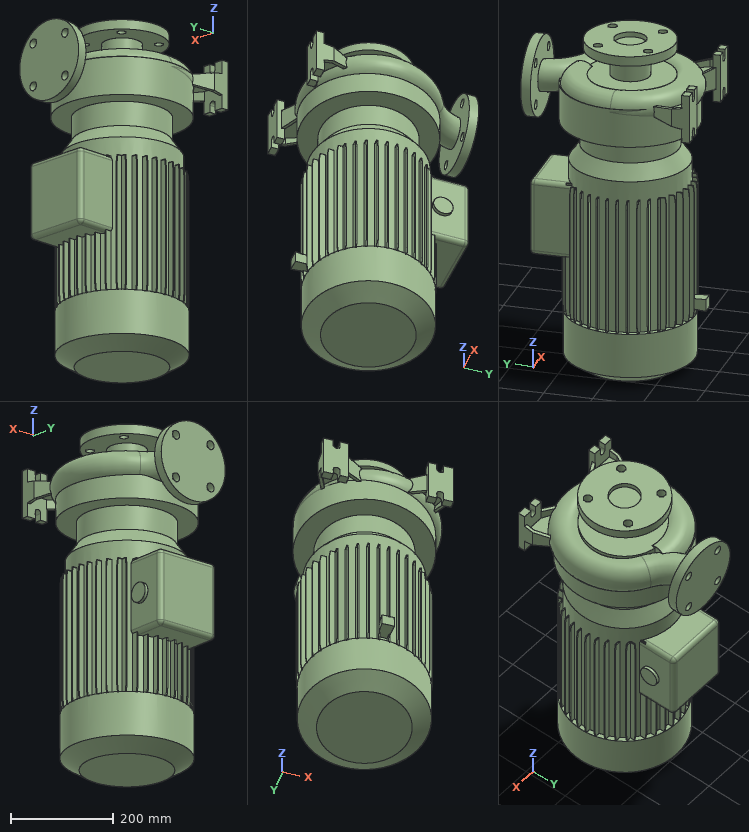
import cadquery as cq
import math

OVERLAP = 7.0

end_cap_radius = 94.0
end_cap_top = 24.0
shroud_radius = 132.0
shroud_top = 116.0
frame_radius = 121.5
frame_top = 436.0
lantern_radius = 99.5
lantern_bottom = 467.0

fin_top = 397.0
fin_height = 12.5
fin_end_step = 2.0
fin_thickness = 3.0
fins_per_side = 10
fin_pitch_angle = 90 / fins_per_side
fin_end_taper = 16.0

casing_radius = 140.0
casing_bottom = 517.5
casing_top = 597.0
hub_radius = 92.0
hub_top = 615.0

tube_axis_z = 590.0
tube_radius = 32.5
scroll_start_reach = casing_radius - tube_radius
scroll_end_reach = 120.0
scroll_radius = (scroll_start_reach + scroll_end_reach) / 2
scroll_offset = scroll_end_reach - scroll_radius
tongue_radius = 105.0
tongue_angle = 102

overall_height = 690.0
flange_thickness = 20.0
suction_flange_radius = 92.5
suction_neck_radius = 40.0
suction_bore_radius = 32.5
suction_bore_depth = 10.5
suction_bolt_circle_radius = 72.5

discharge_face_y = 200.0
discharge_flange_radius = 83.0
discharge_bolt_circle_radius = 63.0

bolt_hole_radius = 9.0
bolt_hole_count = 4

foot_center_x = 107.5
foot_width = 52.0
foot_height = 100.0
foot_thickness = 16.0
foot_face_y = -160.0
slot_width = 14.0
slot_depth = 21.5
slot_center_x = 106.0
bracket_wall = 7.0
bracket_floor_thickness = 6.0
bracket_knee_y = -123.5
bracket_outer_wall_end = (104.0, -60.0)
bracket_inner_wall_end = (31.0, -123.0)
bracket_half_height = 22.0
bracket_slope = 0.18

box_half_width = 72.5
box_back_y = 185.0
box_bottom = 237.5
box_fillet = 10.0
gland_radius = 21.0
gland_length = 7.0
gland_center_y = 127.0
block_face_y = -158.0
block_width = 25.5
block_center_z = 145.5
block_draft_angle = 3


def make_body():
    """Turned body from the motor end cap up to the suction flange."""
    flange_bottom = overall_height - flange_thickness
    outline = [
        (0, 0),
        (end_cap_radius, 0),
        (shroud_radius, end_cap_top),
        (shroud_radius, shroud_top),
        (frame_radius, shroud_top),
        (frame_radius, frame_top),
        (lantern_radius, lantern_bottom),
        (lantern_radius, casing_bottom),
        (casing_radius, casing_bottom),
        (casing_radius, casing_top),
        (hub_radius, casing_top),
        (hub_radius, hub_top),
        (suction_neck_radius, hub_top),
        (suction_neck_radius, flange_bottom),
        (suction_flange_radius, flange_bottom),
        (suction_flange_radius, overall_height),
        (0, overall_height),
    ]
    return cq.Workplane("XZ").polyline(outline).close().revolve(360, (0, 0, 0), (0, 1, 0))


def make_fin(offset):
    """Fin pointing along +X, set off sideways, standing a constant height above the frame."""
    tip = math.sqrt(frame_radius**2 - offset**2) + fin_height
    outline = [
        (0, shroud_top),
        (tip - fin_end_step, shroud_top),
        (tip, shroud_top + fin_end_taper),
        (tip, fin_top - fin_end_taper),
        (tip - fin_end_step, fin_top),
        (0, fin_top),
    ]
    fin = cq.Workplane("XZ").polyline(outline).close().extrude(fin_thickness / 2, both=True)
    return fin.translate((0, offset, 0))


def make_fins():
    """Four groups of parallel fins, evenly spaced by angle around the frame."""
    group = cq.Workplane("XY")
    for index in range(fins_per_side):
        angle = math.radians((index - (fins_per_side - 1) / 2) * fin_pitch_angle)
        group = group.union(make_fin(shroud_radius * math.sin(angle)))
    fins = group
    for turn in (90, 180, 270):
        fins = fins.union(group.rotate((0, 0, 0), (0, 0, 1), turn))
    return fins


def tube_arc(center_x, center_y, bend_radius, start_angle, turn_angle):
    """Piece of round tube bent in the XY plane; angles in degrees about the bend centre."""
    piece = (
        cq.Workplane("XZ")
        .center(bend_radius, 0)
        .circle(tube_radius)
        .revolve(turn_angle, (-bend_radius, 0, 0), (-bend_radius, 1, 0))
    )
    piece = piece.rotate((0, 0, 0), (0, 0, 1), start_angle)
    return piece.translate((center_x, center_y, tube_axis_z))


def make_scroll():
    """Tube around the casing: tongue, main arc, then a reverse bend to the discharge flange."""
    outlet_radius = (discharge_face_y**2 + scroll_offset**2 - scroll_radius**2) / (
        2 * (scroll_radius + scroll_offset)
    )
    meet_angle = math.degrees(math.atan2(discharge_face_y, outlet_radius - scroll_offset))

    tongue_center_x = tongue_radius - scroll_start_reach
    tongue = tube_arc(tongue_center_x, 0, tongue_radius, 180 - tongue_angle, tongue_angle)
    main_arc = tube_arc(scroll_offset, 0, scroll_radius, 180, 180 + meet_angle)
    outlet = tube_arc(outlet_radius, discharge_face_y, outlet_radius, 180, meet_angle)
    return main_arc.union(outlet).union(tongue)


def discharge_plane():
    return cq.Workplane("XZ", origin=(0, discharge_face_y, tube_axis_z))


def make_discharge_flange():
    return discharge_plane().circle(discharge_flange_radius).extrude(flange_thickness)


def bolt_holes(plane, bolt_circle_radius, depth):
    """Bolt holes straddling the flange centre lines."""
    first_angle = 180 / bolt_hole_count
    return (
        plane
        .polarArray(bolt_circle_radius, first_angle, 360, bolt_hole_count)
        .circle(bolt_hole_radius)
        .extrude(depth)
    )


def make_foot():
    """Slotted mounting plate and its channel bracket, on the +X side."""
    inner_x = foot_center_x - foot_width / 2
    outer_x = foot_center_x + foot_width / 2
    plate_back_y = foot_face_y + foot_thickness
    plate = cq.Workplane("XY").box(foot_width, foot_thickness, foot_height)
    plate = plate.translate((foot_center_x, foot_face_y + foot_thickness / 2, tube_axis_z))
    slots = (
        cq.Workplane("XZ", origin=(slot_center_x, plate_back_y, tube_axis_z))
        .pushPoints([(0, foot_height / 2), (0, -foot_height / 2)])
        .slot2D(2 * slot_depth, slot_width, 90)
        .extrude(foot_thickness)
    )

    outline = [
        (inner_x, plate_back_y - bracket_wall),
        (outer_x, plate_back_y - bracket_wall),
        (outer_x, bracket_knee_y),
        bracket_outer_wall_end,
        bracket_inner_wall_end,
    ]
    base = cq.Workplane("XY").workplane(offset=tube_axis_z - foot_height / 2)
    block = base.polyline(outline).close().extrude(foot_height)
    pocket = base.polyline(outline).close().offset2D(-bracket_wall, "intersection").extrude(foot_height)

    wedge_tip_y = plate_back_y + bracket_half_height / bracket_slope
    wedge_base_half_height = bracket_slope * (wedge_tip_y - foot_face_y)
    wedge = (
        cq.Workplane("YZ", origin=(0, 0, tube_axis_z))
        .polyline([
            (foot_face_y, -wedge_base_half_height),
            (wedge_tip_y, 0),
            (foot_face_y, wedge_base_half_height),
        ])
        .close()
        .extrude(outer_x)
    )
    floor = (
        cq.Workplane("XY")
        .workplane(offset=tube_axis_z - bracket_floor_thickness / 2)
        .polyline(outline)
        .close()
        .extrude(bracket_floor_thickness)
    )
    return plate.union(block.cut(pocket).intersect(wedge)).union(floor).cut(slots)


def make_terminal_box():
    """Rounded terminal box on the +Y side of the motor, with a cable gland on its +X side."""
    height = fin_top - box_bottom
    box = cq.Workplane("XY").box(2 * box_half_width, box_back_y, height)
    box = box.edges("|Y or >Y").fillet(box_fillet)
    box = box.translate((0, box_back_y / 2, box_bottom + height / 2))
    gland = (
        cq.Workplane("YZ", origin=(box_half_width - OVERLAP, gland_center_y, box_bottom + height / 2))
        .circle(gland_radius)
        .extrude(gland_length + OVERLAP)
    )
    return box.union(gland)


def make_support_block():
    """Small block on the -Y side of the motor that narrows towards the frame."""
    return (
        cq.Workplane("XZ", origin=(0, block_face_y, block_center_z))
        .rect(block_width, block_width)
        .extrude(block_face_y + frame_radius - OVERLAP, taper=block_draft_angle)
    )


foot = make_foot()
result = make_body().union(make_fins()).union(make_scroll()).union(make_discharge_flange())
result = result.union(foot).union(foot.mirror("YZ"))
result = result.union(make_terminal_box()).union(make_support_block())

top_plane = cq.Workplane("XY").workplane(offset=overall_height)
result = result.cut(bolt_holes(top_plane, suction_bolt_circle_radius, -flange_thickness))
result = result.cut(top_plane.circle(suction_bore_radius).extrude(-suction_bore_depth))
result = result.cut(bolt_holes(discharge_plane(), discharge_bolt_circle_radius, flange_thickness))